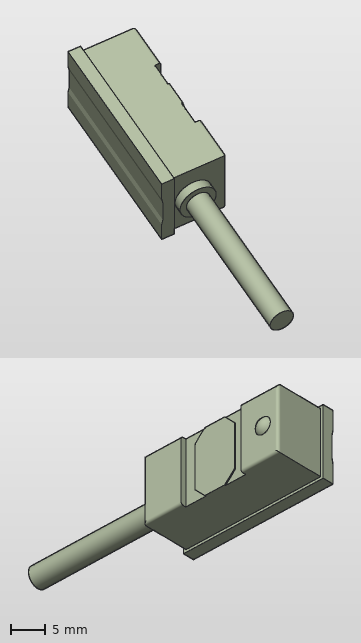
import cadquery as cq

plate_length = 28.0
plate_height = 13.0
plate_thickness = 2.1

groove_width = 6.0
groove_floor_width = 4.0
groove_depth = 0.2

body_margin = 0.5
body_length = plate_length - 2 * body_margin
body_height = plate_height - 2 * body_margin
body_top = 11.0
rim_radius = 0.5
body_center_x = plate_length / 2

notch_start = 8.0
notch_length = 12.0
notch_floor = 10.0
notch_center_x = notch_start + notch_length / 2
pad_length = 8.0
pad_corner_chamfer = 2.0
pad_rise = 0.2

dome_x = 3.6
dome_radius = 1.8
dome_top = 11.8

cable_y = 5.5
collar_diameter = 6.0
collar_end = 29.0
cable_diameter = 3.9
cable_end = 54.0


def plane_at_y(y, x=0.0):
    """Workplane facing +Y at the given height, with local x along X and local y along -Z."""
    return cq.Workplane("XZ", origin=(x, y, 0)).transformed(rotate=(180, 0, 0))


def make_plate():
    plate = plane_at_y(0, plate_length / 2).rect(plate_length, plate_height).extrude(plate_thickness)
    groove = (
        cq.Workplane("YZ")
        .moveTo(0, -groove_width / 2)
        .lineTo(groove_depth, -groove_floor_width / 2)
        .lineTo(groove_depth, groove_floor_width / 2)
        .lineTo(0, groove_width / 2)
        .close()
        .extrude(plate_length)
    )
    return plate.cut(groove)


def make_body():
    body = (
        plane_at_y(plate_thickness, body_center_x)
        .rect(body_length, body_height)
        .extrude(body_top - plate_thickness)
    )
    body = body.faces(">Y").edges().fillet(rim_radius)
    notch = (
        plane_at_y(notch_floor, notch_center_x)
        .rect(notch_length, body_height)
        .extrude(body_top - notch_floor)
    )
    return body.cut(notch)


def make_pad():
    return (
        plane_at_y(notch_floor, notch_center_x)
        .rect(pad_length, body_height)
        .extrude(pad_rise)
        .edges("|Y")
        .chamfer(pad_corner_chamfer)
    )


def make_dome():
    """Ball mostly sunk in the body, leaving a shallow dome above it."""
    return cq.Workplane("XY").sphere(dome_radius).translate((dome_x, dome_top - dome_radius, 0))


def make_round_bar(diameter, end):
    """Round bar along the cable axis, from the right end of the body to x = end."""
    start = body_margin + body_length
    return cq.Workplane("YZ", origin=(start, cable_y, 0)).circle(diameter / 2).extrude(end - start)


result = (
    make_plate()
    .union(make_body())
    .union(make_pad())
    .union(make_dome())
    .union(make_round_bar(collar_diameter, collar_end))
    .union(make_round_bar(cable_diameter, cable_end))
)